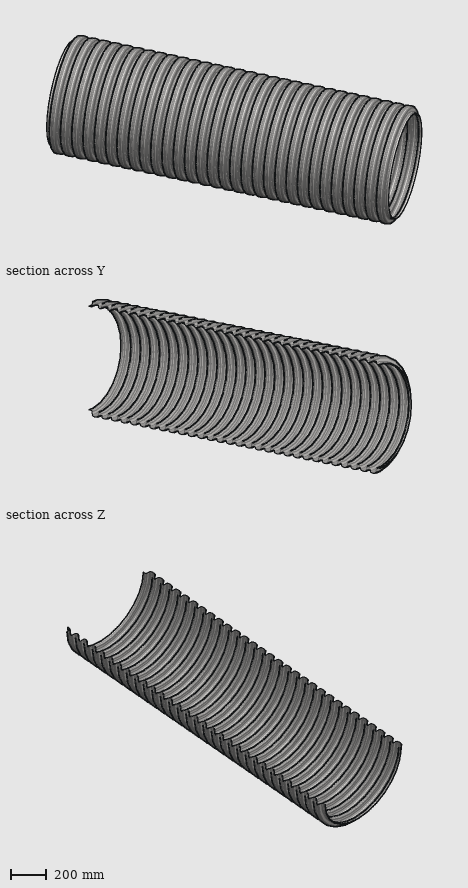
import cadquery as cq
import math

pipe_length = 2000.0
bore_diameter = 600.0
valley_diameter = 608.0
crest_diameter = 678.0

rib_count = 30
rib_pitch = 65.0
root_width = 50.0
shoulder_width = 42.0
crown_width = 8.0
crown_height = 5.0
shoulder_round = 8.0
root_round = 5.0

wall = (valley_diameter - bore_diameter) / 2
rib_height = (crest_diameter - valley_diameter) / 2
half_length = pipe_length / 2
first_rib = -(rib_count - 1) * rib_pitch / 2
rib_centers = [first_rib + i * rib_pitch for i in range(rib_count)]


def rib_corners(center, base_radius, inset):
    """Corners of one rib as (x, distance from axis, rounding), from -X to +X.

    The inset narrows the flanks and adjusts the roundings for the inner skin.
    """
    root = (root_width / 2 - inset, base_radius, root_round + inset)
    shoulder = (
        shoulder_width / 2 - inset,
        base_radius + rib_height - crown_height,
        shoulder_round - inset,
    )
    crown = (crown_width / 2, base_radius + rib_height, 0)
    left = [(center - x, r, rounding) for x, r, rounding in (root, shoulder, crown)]
    right = [(center + x, r, rounding) for x, r, rounding in (crown, shoulder, root)]
    return left + right


def skin_corners(base_radius, inset):
    """Corners of one skin of the wall over the full pipe length, from -X to +X."""
    corners = [(-half_length, base_radius, 0)]
    for center in rib_centers:
        corners += rib_corners(center, base_radius, inset)
    corners.append((half_length, base_radius, 0))
    return corners


def add_corner(outline, before, corner, after):
    """Draw a line to the corner and, when it has a rounding, a tangent arc around it."""
    here = cq.Vector(corner[0], corner[1])
    rounding = corner[2]
    if rounding == 0:
        return outline.lineTo(here.x, here.y)
    back = (cq.Vector(before[0], before[1]) - here).normalized()
    ahead = (cq.Vector(after[0], after[1]) - here).normalized()
    half_angle = back.getAngle(ahead) / 2
    setback = rounding / math.tan(half_angle)
    middle_distance = rounding / math.sin(half_angle) - rounding
    start = here + back * setback
    middle = here + (back + ahead).normalized() * middle_distance
    end = here + ahead * setback
    return outline.lineTo(start.x, start.y).threePointArc((middle.x, middle.y), (end.x, end.y))


outer_skin = skin_corners(valley_diameter / 2, 0)
inner_skin = skin_corners(bore_diameter / 2, wall)
section = outer_skin + inner_skin[::-1]

outline = cq.Workplane("XY").moveTo(section[0][0], section[0][1])
for before, corner, after in zip(section, section[1:], section[2:] + section[:1]):
    outline = add_corner(outline, before, corner, after)

result = outline.close().revolve(360, (0, 0, 0), (1, 0, 0))